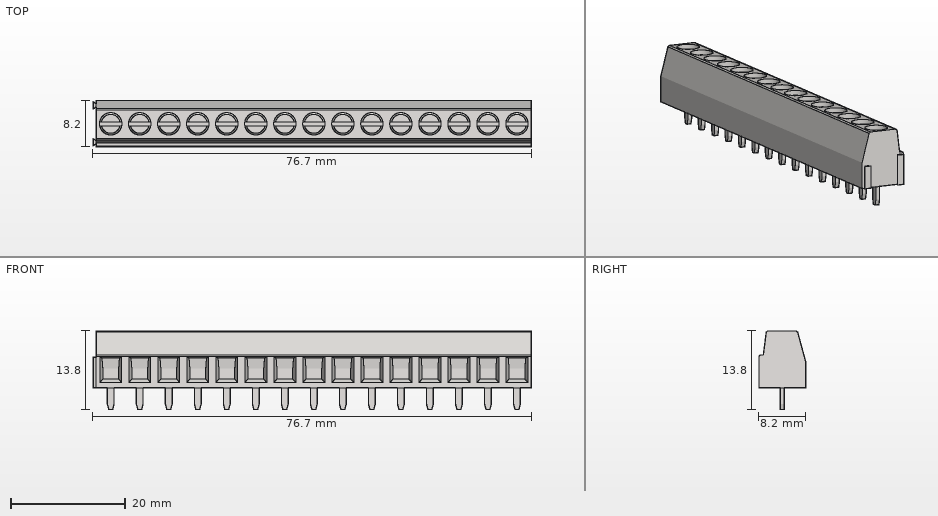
import cadquery as cq

total_length = 76.7
tongue_reach = 0.5
depth = 8.2
housing_height = 10.0
total_height = 13.8
pole_count = 15
housing_length = total_length - tongue_reach
pitch = housing_length / pole_count

ledge_height = 5.75
ledge_width = 0.8
top_front_inset = 1.3
top_back_inset = 1.45
shoulder_height = 4.6
edge_chamfer = 0.2

entry_width = 3.8
entry_sill = 0.9
entry_lintel = 5.45
entry_depth = 1.15
entry_side_taper = 0.5
entry_floor_rise = 0.6
entry_back_height = 1.85
entry_upper_depth = 0.85
entry_lintel_drop = 0.2

screw_y = depth / 2
screw_diameter = 3.9
screw_recess = 0.8
screw_chamfer = 0.3
slot_width = 0.7
slot_depth = 0.5

pin_width = 1.2
pin_tip_width = 0.7
pin_thickness = 0.8
pin_tip_length = 1.0
pin_length = total_height - housing_height

tongue_edge_gap = 0.2
tongue_width = 1.3
tongue_undercut = 0.4
front_tongue_height = 5.4
back_tongue_height = 4.0

pole_positions = [tongue_reach + pitch * (i + 0.5) for i in range(pole_count)]


def make_housing():
    """Constant cross section swept along X."""
    profile = [
        (0, 0),
        (depth, 0),
        (depth, shoulder_height),
        (depth - top_back_inset, housing_height),
        (top_front_inset, housing_height),
        (ledge_width, ledge_height),
        (0, ledge_height),
    ]
    housing = (
        cq.Workplane("YZ", origin=(tongue_reach, 0, 0))
        .polyline(profile)
        .close()
        .extrude(housing_length)
    )
    upper_edges = housing.faces(">Z").edges("|X")
    front_edge = housing.faces("<Y").edges("|X and >Z")
    return housing.newObject(upper_edges.vals() + front_edge.vals()).chamfer(edge_chamfer)


def make_tongue(outer_y, height):
    """Dovetail rib, widest at its free side, starting at y = outer_y."""
    profile = [
        (0, outer_y),
        (tongue_reach, outer_y + tongue_undercut),
        (tongue_reach, outer_y + tongue_width - tongue_undercut),
        (0, outer_y + tongue_width),
    ]
    return cq.Workplane("XY").polyline(profile).close().extrude(height)


def make_entry(x):
    """Void of one wire entry: a tapered funnel trimmed by its side profile."""
    sill_back = entry_sill + entry_floor_rise
    side_profile = [
        (0, entry_sill),
        (entry_depth, sill_back),
        (entry_depth, sill_back + entry_back_height),
        (entry_upper_depth, entry_lintel - entry_lintel_drop),
        (0, entry_lintel),
    ]
    plan = [
        (x - entry_width / 2, 0),
        (x + entry_width / 2, 0),
        (x + entry_width / 2 - entry_side_taper, entry_depth),
        (x - entry_width / 2 + entry_side_taper, entry_depth),
    ]
    side = (
        cq.Workplane("YZ", origin=(x - entry_width / 2, 0, 0))
        .polyline(side_profile)
        .close()
        .extrude(entry_width)
    )
    funnel = cq.Workplane("XY").polyline(plan).close().extrude(housing_height)
    return side.intersect(funnel)


def make_screw_well(x):
    """Void above one screw: the well, less a chamfered head, plus the driver slot."""
    head_top = housing_height - screw_recess
    void_depth = screw_recess + slot_depth
    well = (
        cq.Workplane("XY", origin=(x, screw_y, head_top - slot_depth))
        .circle(screw_diameter / 2)
        .extrude(void_depth)
    )
    head = (
        cq.Workplane("XY", origin=(x, screw_y, head_top - slot_depth))
        .circle(screw_diameter / 2)
        .extrude(slot_depth)
        .faces(">Z")
        .chamfer(screw_chamfer)
    )
    slot = (
        cq.Workplane("XY", origin=(x, screw_y, head_top - slot_depth))
        .rect(screw_diameter, slot_width)
        .extrude(slot_depth)
    )
    return well.cut(head.cut(slot))


def make_pin(x):
    """Flat pin below the housing with a tapered tip."""
    half = pin_width / 2
    half_tip = pin_tip_width / 2
    tip_start = pin_tip_length - pin_length
    profile = [
        (x - half, 0),
        (x - half, tip_start),
        (x - half_tip, -pin_length),
        (x + half_tip, -pin_length),
        (x + half, tip_start),
        (x + half, 0),
    ]
    return (
        cq.Workplane("XZ", origin=(0, screw_y + pin_thickness / 2, 0))
        .polyline(profile)
        .close()
        .extrude(pin_thickness)
    )


result = make_housing()
result = result.union(make_tongue(tongue_edge_gap, front_tongue_height))
result = result.union(make_tongue(depth - tongue_edge_gap - tongue_width, back_tongue_height))

for pole_x in pole_positions:
    result = result.cut(make_entry(pole_x))
    result = result.cut(make_screw_well(pole_x))
    result = result.union(make_pin(pole_x))